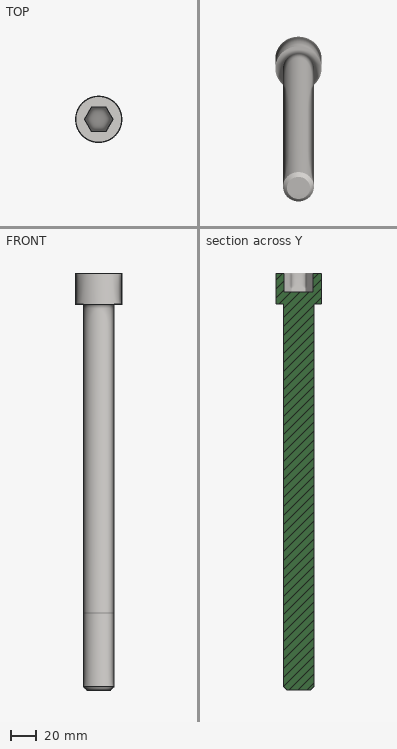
import cadquery as cq
import math

thread_diameter = 24.0
shank_length = 300.0
thread_length = 60.0
head_diameter = 1.5 * thread_diameter
head_height = thread_diameter
socket_across_flats = 0.8 * thread_diameter
socket_depth = 0.6 * head_height
socket_sides = 6
tip_chamfer = 3.0

socket_across_corners = socket_across_flats / math.cos(math.pi / socket_sides)
plain_length = shank_length - thread_length


def make_head():
    """Cylindrical head with a hexagon socket, two corners on the X axis."""
    head = cq.Workplane("XY").circle(head_diameter / 2).extrude(head_height)
    socket = (
        cq.Workplane("XY")
        .workplane(offset=head_height - socket_depth)
        .polygon(socket_sides, socket_across_corners)
        .extrude(socket_depth)
    )
    return head.cut(socket)


def make_plain_shank():
    """Unthreaded length directly below the head."""
    return cq.Workplane("XY").circle(thread_diameter / 2).extrude(-plain_length)


def make_threaded_end():
    """Threaded length, as a plain cylinder with a chamfered tip."""
    return (
        cq.Workplane("XY")
        .workplane(offset=-shank_length)
        .circle(thread_diameter / 2)
        .extrude(thread_length)
        .faces("<Z")
        .chamfer(tip_chamfer)
    )


result = make_head().union(make_plain_shank()).union(make_threaded_end())